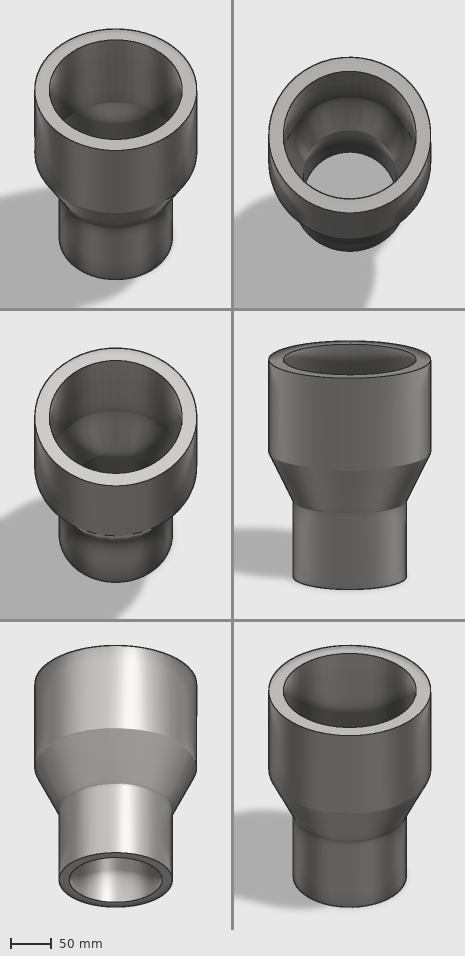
import cadquery as cq

total_height = 275.0
socket_diameter = 200.0
spigot_diameter = 140.0
socket_wall = 18.2
spigot_wall = 12.6

spigot_height = 96.5
socket_height = 117.0
cone_top = total_height - socket_height

blend_radius = 2.0

socket_radius = socket_diameter / 2
spigot_radius = spigot_diameter / 2
socket_bore_radius = socket_radius - socket_wall
spigot_bore_radius = spigot_radius - spigot_wall


def stepped_solid(lower_radius, upper_radius):
    """Two coaxial cylinders joined by a blended cone, standing on Z = 0."""
    sharp_solid = (
        cq.Workplane("XZ")
        .lineTo(lower_radius, 0)
        .lineTo(lower_radius, spigot_height)
        .lineTo(upper_radius, cone_top)
        .lineTo(upper_radius, total_height)
        .lineTo(0, total_height)
        .close()
        .revolve(360, (0, 0, 0), (0, 1, 0))
    )
    cone_rims = sharp_solid.faces("%CONE").edges("%CIRCLE")
    return cone_rims.fillet(blend_radius)


outer_body = stepped_solid(spigot_radius, socket_radius)
bore = stepped_solid(spigot_bore_radius, socket_bore_radius)
result = outer_body.cut(bore)